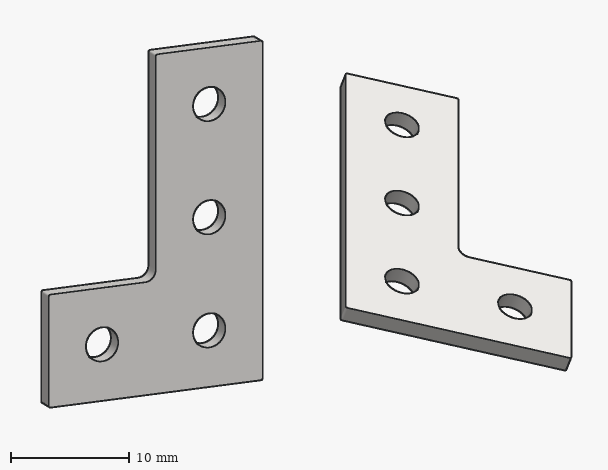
import cadquery as cq

length = 30.0
cell = length / 3
thickness = 1.5
hole_diameter = 3.0
inner_radius = 1.0
corner_radius = 0.2

foot_width = 2 * cell

outline = [
    (0, 0),
    (foot_width, 0),
    (foot_width, length),
    (cell, length),
    (cell, cell),
    (0, cell),
]
plate = cq.Workplane("YZ").polyline(outline).close().extrude(thickness)

inner_corner = cq.selectors.NearestToPointSelector((thickness / 2, cell, cell))
plate = plate.edges("|X").edges(inner_corner).fillet(inner_radius)
outer_corners = [point for point in outline if point != (cell, cell)]
for y, z in outer_corners:
    corner = cq.selectors.NearestToPointSelector((thickness / 2, y, z))
    plate = plate.edges("|X").edges(corner).fillet(corner_radius)

hole_centres = [
    (0.5 * cell, 0.5 * cell),
    (1.5 * cell, 0.5 * cell),
    (1.5 * cell, 1.5 * cell),
    (1.5 * cell, 2.5 * cell),
]
holes = (
    cq.Workplane("YZ")
    .pushPoints(hole_centres)
    .circle(hole_diameter / 2)
    .extrude(thickness)
)

result = plate.cut(holes)